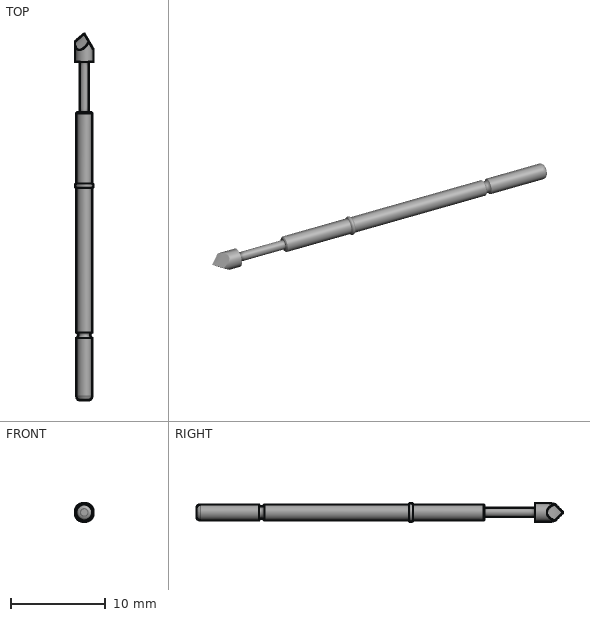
import cadquery as cq
import math

overall_length = 38.7

head_radius = 1.0
head_length = 3.0
tip_facets = 3
tip_facet_angle = 30.0
shaft_radius = 0.5

barrel_radius = 0.85
barrel_mouth_depth = 8.3
mouth_chamfer = 0.12
tail_round = 0.45

collar_radius = 1.0
collar_width = 0.46
collar_center_depth = 16.06

groove_width = 0.6
groove_floor_radius = 0.65
groove_center_depth = 31.81

tip_y = overall_length / 2
tail_y = -overall_length / 2


def revolve_about_y(profile):
    return profile.close().revolve(360, (0, 0, 0), (0, 1, 0))


def make_plunger():
    """Head and shaft as one turned body, with the shaft ending in the barrel."""
    head_back_y = tip_y - head_length
    mouth_y = tip_y - barrel_mouth_depth
    shaft_end_y = mouth_y - barrel_radius
    profile = (
        cq.Workplane("XY")
        .moveTo(0, shaft_end_y)
        .lineTo(shaft_radius, shaft_end_y)
        .lineTo(shaft_radius, head_back_y)
        .lineTo(head_radius, head_back_y)
        .lineTo(head_radius, tip_y)
        .lineTo(0, tip_y)
    )
    return revolve_about_y(profile)


def make_tip_cutter():
    """Wedge whose slanted face is one tip facet, on the +X side of the head."""
    facet_depth = head_radius / math.tan(math.radians(tip_facet_angle))
    reach = 2.0
    return (
        cq.Workplane("XY")
        .moveTo(0, tip_y)
        .lineTo(reach * head_radius, tip_y - reach * facet_depth)
        .lineTo(reach * head_radius, tip_y)
        .close()
        .extrude(reach * head_radius, both=True)
    )


def sharpen_tip(plunger):
    cutter = make_tip_cutter()
    for index in range(tip_facets):
        facet_turn = index * 360 / tip_facets
        plunger = plunger.cut(cutter.rotate((0, 0, 0), (0, 1, 0), facet_turn))
    return plunger


def make_barrel():
    """Turned barrel, outlined from the tail forward to the mouth."""
    mouth_y = tip_y - barrel_mouth_depth
    collar_y = tip_y - collar_center_depth
    groove_y = tip_y - groove_center_depth
    arc_offset = tail_round * math.sqrt(0.5)
    tail_mid_point = (barrel_radius - tail_round + arc_offset, tail_y + tail_round - arc_offset)
    profile = (
        cq.Workplane("XY")
        .moveTo(0, tail_y)
        .lineTo(barrel_radius - tail_round, tail_y)
        .threePointArc(tail_mid_point, (barrel_radius, tail_y + tail_round))
        .lineTo(barrel_radius, groove_y - groove_width / 2)
        .threePointArc((groove_floor_radius, groove_y), (barrel_radius, groove_y + groove_width / 2))
        .lineTo(barrel_radius, collar_y - collar_width / 2)
        .threePointArc((collar_radius, collar_y), (barrel_radius, collar_y + collar_width / 2))
        .lineTo(barrel_radius, mouth_y - mouth_chamfer)
        .lineTo(barrel_radius - mouth_chamfer, mouth_y)
        .lineTo(0, mouth_y)
    )
    return revolve_about_y(profile)


result = make_barrel().union(sharpen_tip(make_plunger()))